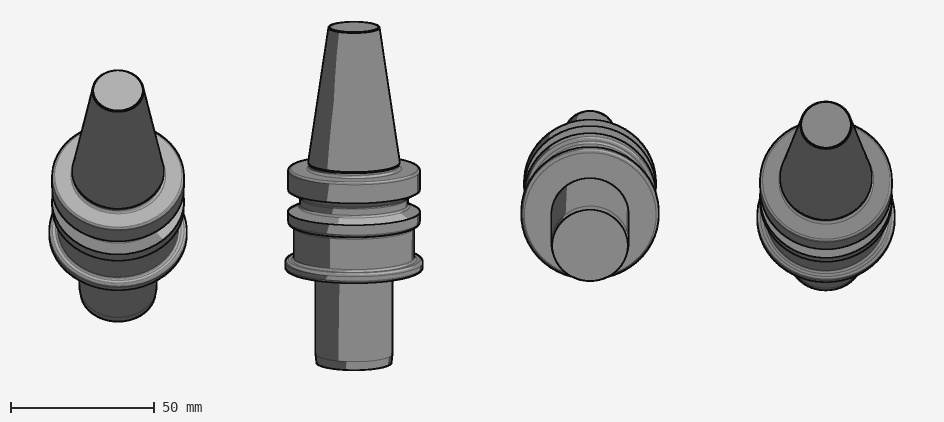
import cadquery as cq
import math

total_height = 119.4
shank_radius = 13.5
shank_end_radius = 13.1
flange_radius = 24.0
body_radius = 21.0
collar_radius = 46.0 / 2
groove_radius = 37.7 / 2
relief_radius = 15.5
taper_base_radius = 16.0
taper_top_radius = 9.0

shank_chamfer_top = 3.2
flange_bottom = 33.1
flange_top = 36.8
body_top = 48.4
groove_lower_edge = 53.7
groove_floor_bottom = 55.9
groove_floor_top = 59.2
groove_upper_edge = 61.5
collar_top = 69.0
taper_base = 71.2

flange_round = 1.1
body_fillet = 0.8
collar_round = collar_radius - body_radius - body_fillet
collar_bottom = body_top + body_fillet
collar_top_round = 0.8
groove_fillet = 1.0
relief_fillet = 1.0
relief_step = 0.6
taper_top_chamfer = 0.4

DIAGONAL = math.sqrt(0.5)


def quarter_arc(profile, center, radius, side, end):
    """Add a quarter arc whose midpoint lies diagonally from its center."""
    reach = radius * DIAGONAL
    middle = (center[0] + side[0] * reach, center[1] + side[1] * reach)
    return profile.threePointArc(middle, end)


profile = (
    cq.Workplane("XZ")
    .lineTo(shank_end_radius, 0)
    .lineTo(shank_radius, shank_chamfer_top)
    .lineTo(shank_radius, flange_bottom)
    .lineTo(flange_radius - flange_round, flange_bottom)
)

rim_center_radius = flange_radius - flange_round
rim_lower = flange_bottom + flange_round
rim_upper = flange_top - flange_round
profile = quarter_arc(
    profile, (rim_center_radius, rim_lower), flange_round, (1, -1), (flange_radius, rim_lower)
)
profile = profile.lineTo(flange_radius, rim_upper)
profile = quarter_arc(
    profile, (rim_center_radius, rim_upper), flange_round, (1, 1), (rim_center_radius, flange_top)
)

fillet_center_radius = body_radius + body_fillet
body_fillet_top = flange_top + body_fillet
body_fillet_center = (fillet_center_radius, body_fillet_top)
profile = profile.lineTo(fillet_center_radius, flange_top)
profile = quarter_arc(
    profile, body_fillet_center, body_fillet, (-1, -1), (body_radius, body_fillet_top)
)
profile = profile.lineTo(body_radius, body_top)
profile = quarter_arc(
    profile, (fillet_center_radius, body_top), body_fillet, (-1, 1), (fillet_center_radius, collar_bottom)
)

collar_round_top = collar_bottom + collar_round
profile = quarter_arc(
    profile,
    (collar_radius - collar_round, collar_round_top),
    collar_round,
    (1, -1),
    (collar_radius, collar_round_top),
)
profile = (
    profile.lineTo(collar_radius, groove_lower_edge)
    .lineTo(groove_radius, groove_floor_bottom)
    .lineTo(groove_radius, groove_floor_top)
    .lineTo(collar_radius, groove_upper_edge)
    .lineTo(collar_radius, collar_top - collar_top_round)
)
profile = quarter_arc(
    profile,
    (collar_radius - collar_top_round, collar_top - collar_top_round),
    collar_top_round,
    (1, 1),
    (collar_radius - collar_top_round, collar_top),
)

relief_fillet_radius = relief_radius + relief_fillet
relief_fillet_top = collar_top + relief_fillet
profile = profile.lineTo(relief_fillet_radius, collar_top)
profile = quarter_arc(
    profile,
    (relief_fillet_radius, relief_fillet_top),
    relief_fillet,
    (-1, -1),
    (relief_radius, relief_fillet_top),
)

profile = (
    profile.lineTo(relief_radius, taper_base - relief_step)
    .lineTo(taper_base_radius, taper_base)
    .lineTo(taper_top_radius, total_height - taper_top_chamfer)
    .lineTo(taper_top_radius - taper_top_chamfer, total_height)
    .lineTo(0, total_height)
    .close()
)

turned_part = profile.revolve(360, (0, 0, 0), (0, 1, 0))

selection_margin = 0.1
groove_floor_edges = cq.selectors.BoxSelector(
    (-flange_radius, -flange_radius, groove_floor_bottom - selection_margin),
    (flange_radius, flange_radius, groove_floor_top + selection_margin),
    boundingbox=True,
)
result = turned_part.edges(groove_floor_edges).edges("%CIRCLE").fillet(groove_fillet)